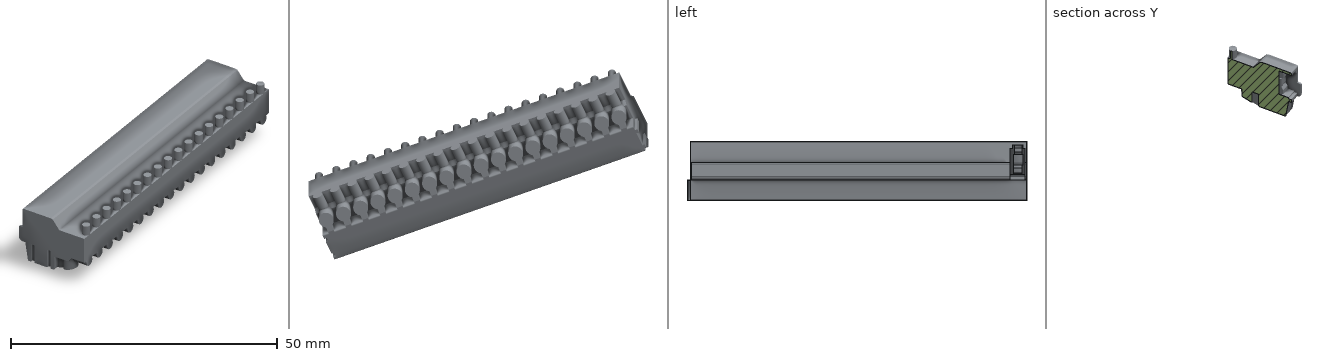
import cadquery as cq

TOTAL_LENGTH = 63.6
RIB_HEIGHT = 0.5
BODY_LENGTH = TOTAL_LENGTH - RIB_HEIGHT
BODY_WIDTH = 14.6
BODY_HEIGHT = 11.1

WALL_X = 0.75
UPPER_RIGHT_X = 7.1
SLOPE_TOP_X = 7.55
BREAK_DROP = 0.1
SHELF_Z = 9.15
SHELF_LEFT_X = 9.0
BEAD_TOP_Z = 7.1
BEAD_BOTTOM_Z = 3.9
BEAD_TOP_RADIUS = 0.25
BEAD_BOTTOM_RADIUS = 0.7
BEAD_END_GAP = 0.2
OVERHANG_Z = 3.9
OVERHANG_LEFT_X = 11.75
STEP_RIGHT_X = 11.05
STEP_Z = 2.9
PLUG_TOP_LEFT_X = 1.4
PLUG_LEFT_X = 2.0
PLUG_RIGHT_X = 7.95
EDGE_RADIUS = 0.25

POLE_COUNT = 18
POLE_PITCH = 3.5
FIRST_POLE_Y = (BODY_LENGTH - (POLE_COUNT - 1) * POLE_PITCH) / 2
PIN_RADIUS = 0.75
SOCKET_RADIUS = 1.4
SOCKET_X = 10.4
SOCKET_WEB_WIDTH = 1.15
SOCKET_LOW_X = 8.2
SOCKET_RIGHT_Z = 1.0
BARREL_RADIUS = 0.95
BARREL_Z = 3.3

RIB_TOP_Z = BEAD_BOTTOM_Z
RIB_ROOT_WIDTH = 0.65
RIB_FLARE = 0.2
RIB_OUTER_X = (2.7, 7.05)

WINDOW_Y = (0.4, 3.1)
WINDOW_TOP_Z = 9.8
WINDOW_BACK_X = 3.5
SILL_Z = 4.65
SILL_BACK_X = 1.4
SILL_STEP = 0.25
NOTCH_Y = (0.75, 2.75)
NOTCH_TOP_Z = 10.4

LATCH_FRONT_X = 2.55
LATCH_RECESS_X = 2.9
LATCH_FOOT_Y = (0.95, 2.55)
LATCH_PLATE_Y = (0.75, 2.55)
LATCH_HEAD_Y = (0.95, 2.35)
FOOT_BOTTOM_Z = SILL_Z + SILL_STEP
FOOT_FACE_Z = (5.2, 6.15)
FOOT_TOP_Z = 6.75
PLATE_BEND_Z = 7.05
PLATE_SETBACK = 0.05
PLATE_TOP_Z = 8.65
HEAD_FACE_Z = (9.1, 9.9)
OVERLAP = 0.3


def box(x_range, y_range, z_range):
    size = [end - start for start, end in (x_range, y_range, z_range)]
    return cq.Workplane("XY").box(*size, centered=False).translate((x_range[0], y_range[0], z_range[0]))


def prism(points, y_range):
    """Extrude an XZ outline between two Y positions."""
    start, end = y_range
    return cq.Workplane("XZ", origin=(0, start, 0)).polyline(points).close().extrude(start - end)


def make_body():
    """Cross-section followed counter-clockwise from the bottom left, plus the bead on its left wall."""
    body = (
        cq.Workplane("XZ")
        .moveTo(PLUG_LEFT_X + EDGE_RADIUS, 0)
        .lineTo(PLUG_RIGHT_X - EDGE_RADIUS, 0)
        .radiusArc((PLUG_RIGHT_X, EDGE_RADIUS), -EDGE_RADIUS)
        .lineTo(PLUG_RIGHT_X, STEP_Z)
        .lineTo(STEP_RIGHT_X, STEP_Z)
        .lineTo(OVERHANG_LEFT_X, OVERHANG_Z)
        .lineTo(BODY_WIDTH, OVERHANG_Z)
        .lineTo(BODY_WIDTH, SHELF_Z)
        .lineTo(SHELF_LEFT_X, SHELF_Z)
        .lineTo(SLOPE_TOP_X, BODY_HEIGHT - BREAK_DROP)
        .lineTo(UPPER_RIGHT_X, BODY_HEIGHT)
        .lineTo(WALL_X + EDGE_RADIUS, BODY_HEIGHT)
        .radiusArc((WALL_X, BODY_HEIGHT - EDGE_RADIUS), -EDGE_RADIUS)
        .lineTo(WALL_X, BEAD_BOTTOM_Z)
        .lineTo(PLUG_TOP_LEFT_X, BEAD_BOTTOM_Z)
        .lineTo(PLUG_LEFT_X, EDGE_RADIUS)
        .radiusArc((PLUG_LEFT_X + EDGE_RADIUS, 0), -EDGE_RADIUS)
        .close()
        .extrude(-BODY_LENGTH)
    )
    bead = (
        cq.Workplane("XZ")
        .moveTo(WALL_X + OVERLAP, BEAD_TOP_Z)
        .lineTo(BEAD_TOP_RADIUS, BEAD_TOP_Z)
        .radiusArc((0, BEAD_TOP_Z - BEAD_TOP_RADIUS), -BEAD_TOP_RADIUS)
        .lineTo(0, BEAD_BOTTOM_Z + BEAD_BOTTOM_RADIUS)
        .radiusArc((BEAD_BOTTOM_RADIUS, BEAD_BOTTOM_Z), -BEAD_BOTTOM_RADIUS)
        .lineTo(WALL_X + OVERLAP, BEAD_BOTTOM_Z)
        .close()
        .extrude(-(BODY_LENGTH - BEAD_END_GAP))
    )
    return body.union(bead)


def make_pole(y):
    """Pin on the shelf; socket, web and horizontal barrel under it."""
    pin = (
        cq.Workplane("XY", origin=(BODY_WIDTH - PIN_RADIUS, y, SHELF_Z - OVERLAP))
        .circle(PIN_RADIUS)
        .extrude(BODY_HEIGHT - SHELF_Z + OVERLAP)
    )
    socket_right_x = SOCKET_X + SOCKET_RADIUS
    socket = cq.Workplane("XY", origin=(SOCKET_X, y, 0)).circle(SOCKET_RADIUS).extrude(OVERHANG_Z + OVERLAP)
    web_y = (y - SOCKET_WEB_WIDTH / 2, y + SOCKET_WEB_WIDTH / 2)
    web = box((PLUG_RIGHT_X - OVERLAP, SOCKET_X), web_y, (0, STEP_Z + OVERLAP))
    slanted_cut = prism(
        [(SOCKET_LOW_X, 0), (socket_right_x, 0), (socket_right_x, SOCKET_RIGHT_Z)],
        (y - SOCKET_RADIUS, y + SOCKET_RADIUS),
    )
    barrel = (
        cq.Workplane("YZ", origin=(SOCKET_X, y, BARREL_Z))
        .circle(BARREL_RADIUS)
        .extrude(BODY_WIDTH - SOCKET_X)
    )
    return pin.union(socket.union(web).cut(slanted_cut)).union(barrel)


def make_rib_pair():
    """Two ribs standing on Y = 0 and pointing to +Y, each flared on its inner side."""
    ribs = cq.Workplane("XY")
    for outer_x, inward in zip(RIB_OUTER_X, (1, -1)):
        root_x = outer_x + inward * RIB_ROOT_WIDTH
        tip_x = root_x + inward * RIB_FLARE
        outline = [(outer_x, 0), (root_x, 0), (tip_x, RIB_HEIGHT), (outer_x, RIB_HEIGHT)]
        ribs = ribs.union(cq.Workplane("XY").polyline(outline).close().extrude(RIB_TOP_Z))
    return ribs


def make_window():
    window = box((0, WINDOW_BACK_X), WINDOW_Y, (SILL_Z, WINDOW_TOP_Z))
    notch = box((0, WINDOW_BACK_X), NOTCH_Y, (SILL_Z, NOTCH_TOP_Z))
    bead_gap = box((0, WALL_X), WINDOW_Y, (BEAD_BOTTOM_Z, WINDOW_TOP_Z))
    sill_step = box((SILL_BACK_X, WINDOW_BACK_X), WINDOW_Y, (SILL_Z, SILL_Z + SILL_STEP))
    return window.union(notch).union(bead_gap).cut(sill_step)


def make_latch():
    back_x = WINDOW_BACK_X + OVERLAP
    foot = prism(
        [
            (back_x, FOOT_BOTTOM_Z),
            (LATCH_RECESS_X, FOOT_BOTTOM_Z),
            (LATCH_FRONT_X, FOOT_FACE_Z[0]),
            (LATCH_FRONT_X, FOOT_FACE_Z[1]),
            (LATCH_RECESS_X, FOOT_TOP_Z),
            (back_x, FOOT_TOP_Z),
        ],
        LATCH_FOOT_Y,
    )
    plate = prism(
        [
            (back_x, FOOT_TOP_Z),
            (LATCH_RECESS_X + PLATE_SETBACK, FOOT_TOP_Z),
            (LATCH_RECESS_X, PLATE_BEND_Z),
            (LATCH_RECESS_X, PLATE_TOP_Z),
            (back_x, PLATE_TOP_Z),
        ],
        LATCH_PLATE_Y,
    )
    head = prism(
        [
            (back_x, PLATE_TOP_Z),
            (LATCH_RECESS_X, PLATE_TOP_Z),
            (LATCH_FRONT_X, HEAD_FACE_Z[0]),
            (LATCH_FRONT_X, HEAD_FACE_Z[1]),
            (LATCH_RECESS_X, NOTCH_TOP_Z),
            (back_x, NOTCH_TOP_Z),
        ],
        LATCH_HEAD_Y,
    )
    return foot.union(plate).union(head)


result = make_body()
for index in range(POLE_COUNT):
    result = result.union(make_pole(FIRST_POLE_Y + index * POLE_PITCH))

rib_pair = make_rib_pair()
groove_pair = rib_pair.mirror("XZ").translate((0, RIB_HEIGHT, 0))
result = result.cut(groove_pair).union(rib_pair.translate((0, BODY_LENGTH, 0)))
result = result.cut(make_window()).union(make_latch())